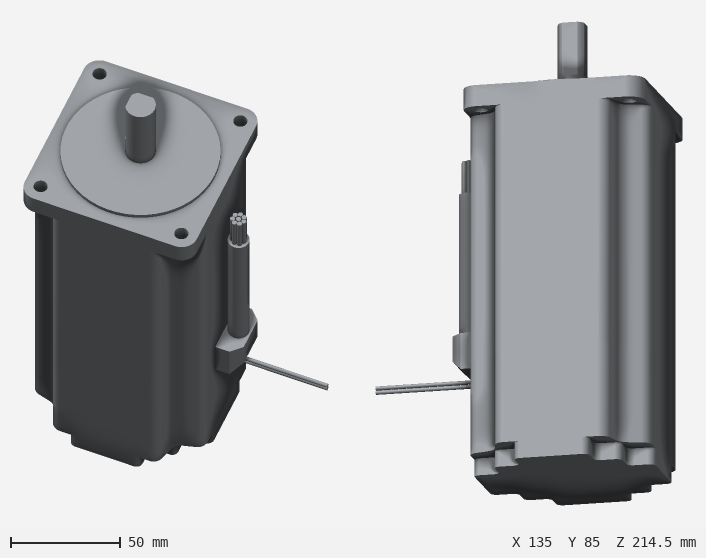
import cadquery as cq
import math

frame_width = 85.0
half_width = frame_width / 2

foot_height = 8.0
brake_top = 52.0
flange_bottom = 167.5
flange_top = 177.5
pilot_height = 2.0
pilot_top = flange_top + pilot_height
shaft_top = 214.5

flange_corner_radius = 7.5
mount_hole_pitch = 69.58
mount_hole_diameter = 6.5
pilot_diameter = 73.0
shaft_diameter = 14.0
shaft_flat_offset = 6.0
shaft_flat_length = 25.0

screw_offset = mount_hole_pitch / 2
flute_radius = 6.5
flute_half_angle = 30.0
shoulder_radius = 5.0

foot_radius = 3.0
foot_outer_step = 17.6
foot_inner_step = 30.0

outlet_depth = 12.0
outlet_width = 26.5
outlet_height = 17.0
outlet_chamfer = 5.0
outlet_top = brake_top + outlet_height

cable_diameter = 10.0
cable_top = 137.5
core_top = 153.0
core_diameter = 2.3
core_ring_radius = 2.75
ring_core_count = 7
first_core_angle = 95.0
cable_x = half_width + outlet_depth / 2

lead_diameter = 1.9
lead_pitch = 2.0
lead_length = 50.0
lead_pair_z = 48.0


def polar(center, radius, angle):
    """Point at an angle in degrees on a circle."""
    turn = math.radians(angle)
    return (center[0] + radius * math.cos(turn), center[1] + radius * math.sin(turn))


def flute_corner():
    """Points of half a frame corner, from the +Y flat to the corner diagonal."""
    screw = (screw_offset, screw_offset)
    wall_angle = 45 - flute_half_angle
    wall_normal = (math.cos(math.radians(wall_angle)), math.sin(math.radians(wall_angle)))
    flute_end = polar(screw, flute_radius, 180 + wall_angle)
    shoulder_y = half_width - shoulder_radius
    wall_distance = flute_end[0] * wall_normal[0] + flute_end[1] * wall_normal[1]
    shoulder_x = (wall_distance - shoulder_radius - shoulder_y * wall_normal[1]) / wall_normal[0]
    shoulder = (shoulder_x, shoulder_y)
    return {
        "flat_end": (shoulder_x, half_width),
        "shoulder_mid": polar(shoulder, shoulder_radius, (90 + wall_angle) / 2),
        "shoulder_end": polar(shoulder, shoulder_radius, wall_angle),
        "flute_end": flute_end,
        "flute_mid": polar(screw, flute_radius, 225),
    }


def swap(point):
    """Mirror of a point in the corner diagonal."""
    return (point[1], point[0])


def turned(point, quarter):
    """Point turned clockwise by a number of quarter turns."""
    for _ in range(quarter):
        point = (point[1], -point[0])
    return point


def frame_column(bottom, top):
    """Square column with a fluted hollow along each corner."""
    corner = flute_corner()
    outline = cq.Workplane("XY").workplane(offset=bottom)
    outline = outline.moveTo(-corner["flat_end"][0], half_width)
    for quarter in range(4):
        outline = (
            outline.lineTo(*turned(corner["flat_end"], quarter))
            .threePointArc(turned(corner["shoulder_mid"], quarter), turned(corner["shoulder_end"], quarter))
            .lineTo(*turned(corner["flute_end"], quarter))
            .threePointArc(turned(corner["flute_mid"], quarter), turned(swap(corner["flute_end"]), quarter))
            .lineTo(*turned(swap(corner["shoulder_end"]), quarter))
            .threePointArc(
                turned(swap(corner["shoulder_mid"]), quarter), turned(swap(corner["flat_end"]), quarter)
            )
        )
    return outline.close().extrude(top - bottom)


def foot():
    """Rear foot: a stepped cross whose upright edges are all rounded."""
    inner_width = 2 * foot_inner_step
    arm_width = 2 * foot_outer_step
    block = cq.Workplane("XY").rect(inner_width, inner_width).extrude(foot_height)
    arm_x = cq.Workplane("XY").rect(frame_width, arm_width).extrude(foot_height)
    arm_y = cq.Workplane("XY").rect(arm_width, frame_width).extrude(foot_height)
    return block.union(arm_x).union(arm_y).edges("|Z").fillet(foot_radius)


def flange():
    """Square mounting flange with four screw holes."""
    return (
        cq.Workplane("XY", origin=(0, 0, flange_bottom))
        .rect(frame_width, frame_width)
        .extrude(flange_top - flange_bottom)
        .edges("|Z")
        .fillet(flange_corner_radius)
        .faces(">Z")
        .workplane()
        .rect(mount_hole_pitch, mount_hole_pitch, forConstruction=True)
        .vertices()
        .hole(mount_hole_diameter)
    )


def cylinder(diameter, bottom, top, x=0.0, y=0.0):
    """Upright round bar between two levels."""
    return cq.Workplane("XY", origin=(x, y, bottom)).circle(diameter / 2).extrude(top - bottom)


def shaft():
    """Output shaft with one flat on its -X side and one on its +Y side."""
    flat_cut = cq.Workplane("XY").box(
        shaft_diameter, 2 * shaft_diameter, shaft_flat_length, centered=(False, True, False)
    )
    flat_cut = flat_cut.translate((-shaft_flat_offset - shaft_diameter, 0, shaft_top - shaft_flat_length))
    side_cut = flat_cut.rotate((0, 0, 0), (0, 0, 1), -90)
    return cylinder(shaft_diameter, flange_top, shaft_top).cut(flat_cut).cut(side_cut)


def cable_outlet():
    """Outlet block, chamfered on its outer upright edges and its outer bottom edge."""
    return (
        cq.Workplane("XY", origin=(half_width, 0, brake_top))
        .box(outlet_depth, outlet_width, outlet_height, centered=(False, True, False))
        .edges("(>X and |Z) or (>X and <Z)")
        .chamfer(outlet_chamfer)
    )


def motor_cable():
    """Cable sheath with its bare cores standing out of the top."""
    cable = cylinder(cable_diameter, outlet_top, cable_top, cable_x)
    cable = cable.union(cylinder(core_diameter, cable_top, core_top, cable_x))
    for index in range(ring_core_count):
        x, y = polar((cable_x, 0), core_ring_radius, first_core_angle + index * 360 / ring_core_count)
        cable = cable.union(cylinder(core_diameter, cable_top, core_top, x, y))
    return cable


def brake_leads():
    """Two parallel leads, one above the other."""
    half_pitch = lead_pitch / 2
    return (
        cq.Workplane("YZ", origin=(half_width, 0, lead_pair_z))
        .pushPoints([(0, -half_pitch), (0, half_pitch)])
        .circle(lead_diameter / 2)
        .extrude(lead_length)
    )


motor = (
    frame_column(brake_top, flange_bottom)
    .union(flange())
    .union(cylinder(pilot_diameter, flange_top, pilot_top))
    .union(shaft())
    .union(cable_outlet())
    .union(motor_cable())
)

brake = frame_column(foot_height, brake_top).union(foot()).union(brake_leads())

result = cq.Compound.makeCompound([motor.val(), brake.val()])